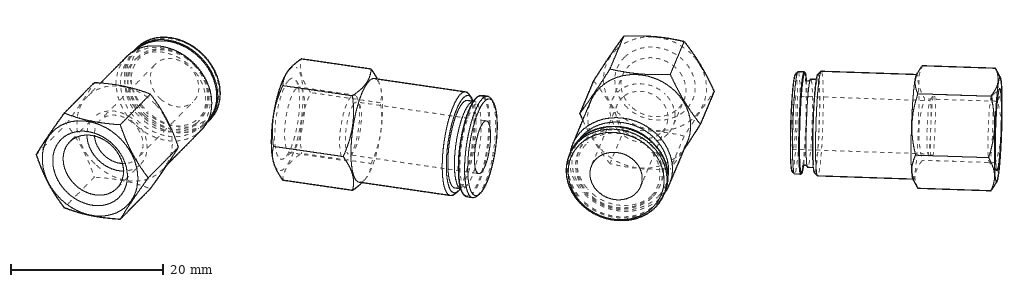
import cadquery as cq
import math

length = 26.95
body_d = 13.8

hex_corners = 16.17
hex_length = 11.0
hex_chamfer_angle = 30.0
hex_face_d = body_d

body_end = length - 2.95
body_chamfer = 0.43
neck_d = 11.65
groove_depth = 0.27
groove_radius = 0.4
collar_d = 13.5
collar_start = length - 1.25
collar_chamfer = 0.32
collar_edge_break = 0.1

passage_d = 7.0
socket_d = 8.7
socket_depth = 8.62
socket_tip_angle = 118.0
countersink_d = 10.78
countersink_angle = 90.0


def revolve_about_y(profile):
    """Turn a closed (radius, y) profile fully around the Y axis."""
    return profile.close().revolve(360, (0, 0, 0), (0, 1, 0))


def cone_depth(large_d, small_d, included_angle):
    """Axial length of a cone between two diameters."""
    return (large_d - small_d) / 2 / math.tan(math.radians(included_angle / 2))


def make_hexagon():
    """Hexagonal prism with both ends turned down to a conical chamfer."""
    prism = cq.Workplane("XZ").polygon(6, hex_corners).extrude(-hex_length)
    face_r = hex_face_d / 2
    corner_r = hex_corners / 2
    chamfer_height = (corner_r - face_r) * math.tan(math.radians(hex_chamfer_angle))
    envelope = revolve_about_y(
        cq.Workplane("XY")
        .moveTo(0, 0)
        .lineTo(face_r, 0)
        .lineTo(corner_r, chamfer_height)
        .lineTo(corner_r, hex_length - chamfer_height)
        .lineTo(face_r, hex_length)
        .lineTo(0, hex_length)
    )
    return prism.intersect(envelope)


def make_turned_body():
    """Cylindrical body, neck with a round groove, and the release collar."""
    body_r = body_d / 2
    neck_r = neck_d / 2
    collar_r = collar_d / 2
    groove_center_r = neck_r - groove_depth + groove_radius
    groove_center_y = collar_start - groove_radius
    groove_start = groove_center_y - math.sqrt(groove_radius**2 - (groove_center_r - neck_r) ** 2)
    return revolve_about_y(
        cq.Workplane("XY")
        .moveTo(0, 0)
        .lineTo(body_r, 0)
        .lineTo(body_r, body_end - body_chamfer)
        .lineTo(body_r - body_chamfer, body_end)
        .lineTo(neck_r, body_end)
        .lineTo(neck_r, groove_start)
        .threePointArc((neck_r - groove_depth, groove_center_y), (groove_center_r, collar_start))
        .lineTo(collar_r - collar_edge_break, collar_start)
        .lineTo(collar_r, collar_start + collar_edge_break)
        .lineTo(collar_r, length - collar_chamfer)
        .lineTo(collar_r - collar_chamfer, length)
        .lineTo(0, length)
    )


def make_bore():
    """Countersunk socket with a conical floor, leading into the through passage."""
    countersink_depth = cone_depth(countersink_d, socket_d, countersink_angle)
    tip_depth = cone_depth(socket_d, passage_d, socket_tip_angle)
    return revolve_about_y(
        cq.Workplane("XY")
        .moveTo(0, 0)
        .lineTo(countersink_d / 2, 0)
        .lineTo(socket_d / 2, countersink_depth)
        .lineTo(socket_d / 2, socket_depth)
        .lineTo(passage_d / 2, socket_depth + tip_depth)
        .lineTo(passage_d / 2, length)
        .lineTo(0, length)
    )


result = make_turned_body().union(make_hexagon()).cut(make_bore())